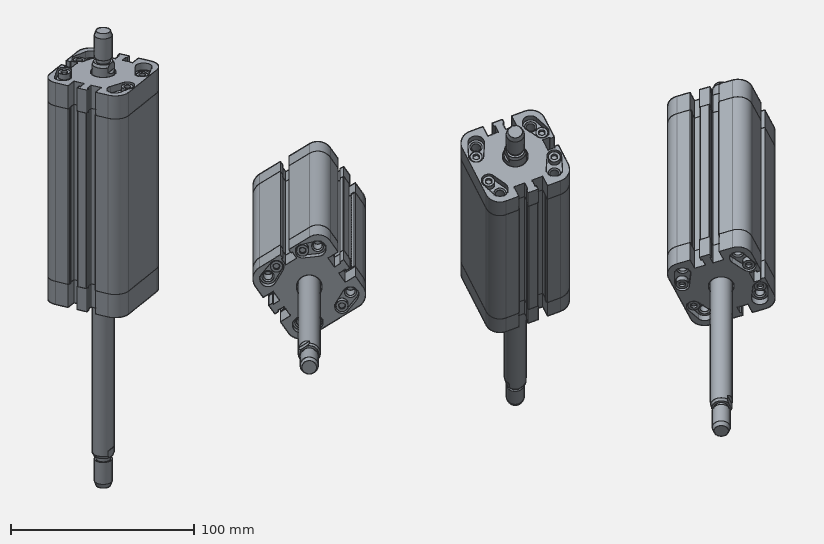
import cadquery as cq

rod_length = 275.0
lower_stickout = 115.8
upper_stickout = 25.0
cap_height = 14.0
barrel_bottom = lower_stickout + cap_height
barrel_top = rod_length - upper_stickout - cap_height
barrel_height = barrel_top - barrel_bottom

body_width = 49.0
half_width = body_width / 2
corner_radius = 8.2

slot_depth = 6.5
slot_lip = 2.5
slot_near_wall = 2.2
slot_far_wall = 8.5
mouth_near_edge = 3.0
barrel_mouth_far_edge = 8.0
barrel_mouth_chamfer = 0.5
side_slot_half_width = 3.5
side_mouth_half_width = 2.8

rod_diameter = 12.0
shoulder_diameter = 10.5
shoulder_chamfer_height = 1.6
stub_diameter = 10.0
stub_length = 18.5
tip_diameter = 8.0
tip_chamfer_height = 2.8
relief_diameter = 8.0
relief_height = 2.5
flat_spacing = 10.0
flat_height = 4.7

bore_diameter = 13.8
bore_chamfer = 0.15

pocket_depth = 4.0
mount_offset = 16.2
mount_pocket_diameter = 9.0
mount_hole_diameter = 5.0
mount_rim_diameter = 6.5
mount_hole_depth = 8.2
screw_x = 19.5
screw_y = 8.5
screw_pocket_diameter = 8.0
screw_head_diameter = 6.5
screw_head_height = 3.3
socket_diameter = 3.5
socket_depth = 1.6


def disc(x, y, diameter, bottom, top):
    """Upright cylinder between two heights."""
    return cq.Workplane("XY", origin=(x, y, bottom)).circle(diameter / 2).extrude(top - bottom)


def slot_cutter(wall_span, mouth_span, chamfer, height):
    """Groove open to +Y, from the X spans of its undercut and its mouth."""
    left_wall, right_wall = wall_span
    left_mouth, right_mouth = mouth_span
    floor = half_width - slot_depth
    lip = half_width - slot_lip
    undercut = cq.Workplane("XY").moveTo(left_wall, floor).lineTo(right_wall, floor)
    undercut = undercut.lineTo(right_wall, lip).lineTo(left_wall, lip).close().extrude(height)
    mouth_middle = (left_mouth + right_mouth) / 2
    mouth_width = right_mouth - left_mouth
    mouth = cq.Workplane("XY").center(mouth_middle, half_width - slot_lip / 2)
    cutter = undercut.union(mouth.rect(mouth_width, slot_lip).extrude(height))
    if chamfer > 0:
        bevel = cq.Workplane("XY").polyline([
            (left_mouth, half_width - chamfer),
            (right_mouth, half_width - chamfer),
            (right_mouth + chamfer, half_width),
            (left_mouth - chamfer, half_width),
        ])
        cutter = cutter.union(bevel.close().extrude(height))
    return cutter


def slotted_block(height, mouth_far_edge, chamfer):
    """Rounded square block on Z = 0: two grooves on each Y face and one on the -X face."""
    block = cq.Workplane("XY").rect(body_width, body_width).extrude(height)
    block = block.edges("|Z").fillet(corner_radius)
    right_slot = slot_cutter(
        (slot_near_wall, slot_far_wall), (mouth_near_edge, mouth_far_edge), chamfer, height
    )
    slot_pair = right_slot.union(right_slot.mirror("YZ"))
    side_slot = slot_cutter(
        (-side_slot_half_width, side_slot_half_width),
        (-side_mouth_half_width, side_mouth_half_width),
        0,
        height,
    )
    side_slot = side_slot.rotate((0, 0, 0), (0, 0, 1), 90)
    return block.cut(slot_pair).cut(slot_pair.mirror("XZ")).cut(side_slot)


def cut_corner_pocket(cap, x_sign, y_sign):
    """Sink one pocket into the cap top, leaving the screw head standing in it."""
    mount = (x_sign * mount_offset, y_sign * mount_offset)
    screw = (x_sign * screw_x, y_sign * screw_y)
    floor = cap_height - pocket_depth
    head_top = floor + screw_head_height

    outline = cq.Sketch().arc(mount, mount_pocket_diameter / 2, 0, 360)
    outline = outline.arc(screw, screw_pocket_diameter / 2, 0, 360).hull()
    pocket = cq.Workplane("XY", origin=(0, 0, floor)).placeSketch(outline).extrude(pocket_depth)
    pocket = pocket.cut(disc(*screw, screw_head_diameter, floor, head_top))
    socket = disc(*screw, socket_diameter, head_top - socket_depth, head_top)

    hole = disc(*mount, mount_hole_diameter, floor - mount_hole_depth, floor)
    rim_depth = (mount_rim_diameter - mount_hole_diameter) / 2
    countersink = cq.Solid.makeCone(
        mount_hole_diameter / 2,
        mount_rim_diameter / 2,
        rim_depth,
        pnt=cq.Vector(*mount, floor - rim_depth),
    )
    return cap.cut(pocket).cut(socket).cut(hole).cut(countersink)


def make_cap():
    """End cap standing on Z = 0 with its outer face up."""
    cap = slotted_block(cap_height, slot_far_wall, 0)
    cap = cap.cut(disc(0, 0, bore_diameter, 0, cap_height))
    cap = cap.faces(">Z").edges(cq.selectors.RadiusNthSelector(0)).chamfer(bore_chamfer)
    for x_sign in (-1, 1):
        for y_sign in (-1, 1):
            cap = cut_corner_pocket(cap, x_sign, y_sign)
    return cap


def make_barrel():
    """Barrel standing on Z = 0, bored to guide the rod."""
    barrel = slotted_block(barrel_height, barrel_mouth_far_edge, barrel_mouth_chamfer)
    return barrel.cut(disc(0, 0, rod_diameter, 0, barrel_height))


def rod_end_profile():
    """Radius and height points of one rod end, from the tip to the full rod diameter."""
    relief_start = stub_length - relief_height
    return [
        (0, 0),
        (tip_diameter / 2, 0),
        (stub_diameter / 2, tip_chamfer_height),
        (stub_diameter / 2, relief_start),
        (relief_diameter / 2, relief_start),
        (relief_diameter / 2, stub_length),
        (shoulder_diameter / 2, stub_length),
        (rod_diameter / 2, stub_length + shoulder_chamfer_height),
    ]


def flat_cutter():
    """Wedge that cuts the +X wrench flat at the lower rod end, running out at 45 degrees."""
    inner = flat_spacing / 2
    outer = rod_diameter / 2
    flat_end = stub_length + flat_height
    profile = cq.Workplane("XZ").polyline([
        (inner, stub_length),
        (inner, flat_end),
        (outer, flat_end + outer - inner),
        (outer, stub_length),
    ])
    return profile.close().extrude(rod_diameter / 2, both=True)


def make_rod():
    """Piston rod with a stub, a relief groove and two wrench flats at each end."""
    lower_end = rod_end_profile()
    upper_end = [(radius, rod_length - z) for radius, z in reversed(lower_end)]
    profile = cq.Workplane("XZ").polyline(lower_end + upper_end).close()
    rod = profile.revolve(360, (0, 0, 0), (0, 1, 0))
    flat = flat_cutter()
    lower_flats = flat.union(flat.mirror("YZ"))
    upper_flats = lower_flats.mirror("XY").translate((0, 0, rod_length))
    return rod.cut(lower_flats).cut(upper_flats)


cap = make_cap()
upper_cap = cap.translate((0, 0, barrel_top))
lower_cap = cap.mirror("XY").translate((0, 0, barrel_bottom))
barrel = make_barrel().translate((0, 0, barrel_bottom))
rod = make_rod()

result = cq.Compound.makeCompound([upper_cap.val(), lower_cap.val(), barrel.val(), rod.val()])